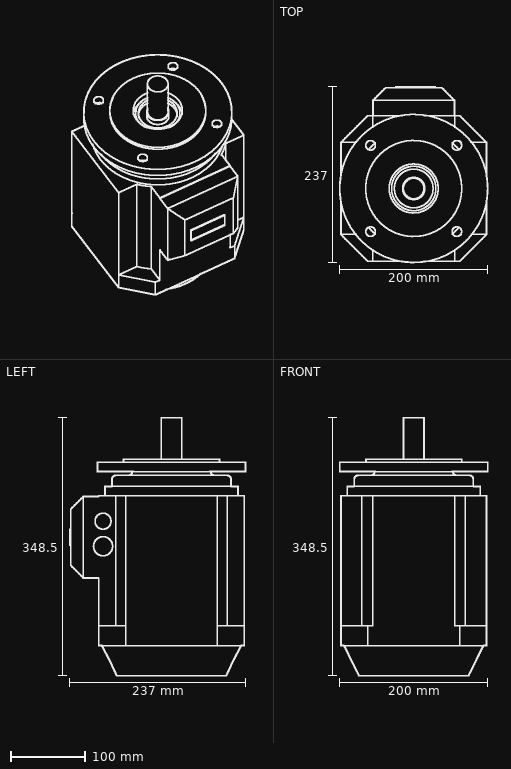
import cadquery as cq
import math


overall_length = 348.5
cowl_height = 40.8
notch_floor_z = 68.0
housing_top_z = 243.3
shield_top_z = 255.8
neck_base_z = 270.8
flange_bottom_z = 275.5
flange_top_z = 288.5
pilot_top_z = 292.5

housing_half_width = 98.3
corner_chamfer = 36.2
notch_half_width = 55.0
notch_radius = 93.5
notch_wall_y = housing_half_width - corner_chamfer
cowl_bottom_radius = 74.0
cowl_top_radius = 94.0

shield_radius = 90.0
cap_radius = 80.5
cap_fillet = 5.5
neck_radius = 53.0
neck_fillet = flange_bottom_z - neck_base_z
flange_radius = 100.0
pilot_radius = 64.8
bolt_offset = 58.2
bolt_hole_diameter = 13.0

shaft_radius = 14.0
shoulder_radius = 15.0
shoulder_top_z = 289.0
pocket_radius = 33.0
pocket_depth = 12.2
seal_outer_radius = 30.0
seal_inner_radius = 26.0
seal_height = 6.3

box_width = 2 * notch_half_width
box_top_z = 242.2
box_face_y = 136.0
box_chamfer = 17.0
box_center_z = box_top_z - box_width / 2
plate_width = 53.0
plate_height = 21.5
plate_thickness = 1.0
plate_center_x = 2.5
cable_y = 92.5
cable_recess_depth = 2.8
cable_recesses = [(208.8, 21.5), (175.0, 25.8)]


def disc(radius, bottom_z, top_z):
    """Cylinder on the shaft axis between two heights."""
    return cq.Workplane("XY").workplane(offset=bottom_z).circle(radius).extrude(top_z - bottom_z)


def corner_notch():
    """Cutter for one housing corner: two flat walls joined by an arc about the shaft axis."""
    arc_start = (math.sqrt(notch_radius**2 - notch_wall_y**2), notch_wall_y)
    arc_end = (notch_half_width, math.sqrt(notch_radius**2 - notch_half_width**2))
    mid_angle = (math.atan2(arc_start[1], arc_start[0]) + math.atan2(arc_end[1], arc_end[0])) / 2
    arc_mid = (notch_radius * math.cos(mid_angle), notch_radius * math.sin(mid_angle))
    return (
        cq.Workplane("XY")
        .workplane(offset=notch_floor_z)
        .moveTo(housing_half_width, notch_wall_y)
        .lineTo(*arc_start)
        .threePointArc(arc_mid, arc_end)
        .lineTo(notch_half_width, housing_half_width)
        .lineTo(housing_half_width, housing_half_width)
        .close()
        .extrude(housing_top_z - notch_floor_z)
    )


def housing():
    """Square body with chamfered corners, notched above the notch floor."""
    body = (
        cq.Workplane("XY")
        .workplane(offset=cowl_height)
        .rect(2 * housing_half_width, 2 * housing_half_width)
        .extrude(housing_top_z - cowl_height)
        .edges("|Z")
        .chamfer(corner_chamfer)
    )
    notch = corner_notch()
    for mirrored in (notch, notch.mirror("YZ")):
        body = body.cut(mirrored).cut(mirrored.mirror("XZ"))
    return body


def turned_body():
    """Fan cowl, end shield, cap, neck, flange and pilot as one revolved profile."""
    diagonal = math.sqrt(0.5)
    cap_fillet_mid = (
        cap_radius - cap_fillet * (1 - diagonal),
        neck_base_z - cap_fillet * (1 - diagonal),
    )
    neck_fillet_mid = (
        neck_radius + neck_fillet * (1 - diagonal),
        neck_base_z + neck_fillet * (1 - diagonal),
    )
    return (
        cq.Workplane("XZ")
        .moveTo(0, 0)
        .lineTo(cowl_bottom_radius, 0)
        .lineTo(cowl_top_radius, cowl_height)
        .lineTo(shield_radius, cowl_height)
        .lineTo(shield_radius, shield_top_z)
        .lineTo(cap_radius, shield_top_z)
        .lineTo(cap_radius, neck_base_z - cap_fillet)
        .threePointArc(cap_fillet_mid, (cap_radius - cap_fillet, neck_base_z))
        .lineTo(neck_radius + neck_fillet, neck_base_z)
        .threePointArc(neck_fillet_mid, (neck_radius, flange_bottom_z))
        .lineTo(flange_radius, flange_bottom_z)
        .lineTo(flange_radius, flange_top_z)
        .lineTo(pilot_radius, flange_top_z)
        .lineTo(pilot_radius, pilot_top_z)
        .lineTo(0, pilot_top_z)
        .close()
        .revolve(360, (0, 0, 0), (0, 1, 0))
    )


def bolt_holes():
    """Four holes through the flange only."""
    return (
        cq.Workplane("XY")
        .workplane(offset=flange_bottom_z)
        .rect(2 * bolt_offset, 2 * bolt_offset, forConstruction=True)
        .vertices()
        .circle(bolt_hole_diameter / 2)
        .extrude(flange_top_z - flange_bottom_z)
    )


def shaft_and_seal():
    """Stepped shaft and raised seal ring standing on the pocket floor."""
    floor_z = pilot_top_z - pocket_depth
    seal_top_z = floor_z + seal_height
    seal = disc(seal_outer_radius, floor_z, seal_top_z).cut(disc(seal_inner_radius, floor_z, seal_top_z))
    shoulder = disc(shoulder_radius, floor_z, shoulder_top_z)
    shaft = disc(shaft_radius, floor_z, overall_length)
    return shaft.union(shoulder).union(seal)


def terminal_box():
    """Square box on the +Y side with a bevelled cover and a thin nameplate."""
    box = (
        cq.Workplane("XY")
        .box(box_width, box_face_y, box_width, centered=(True, False, True))
        .faces(">Y")
        .chamfer(box_chamfer)
    )
    plate = (
        cq.Workplane("XY")
        .box(plate_width, plate_thickness, plate_height, centered=(True, False, True))
        .translate((plate_center_x, box_face_y, 0))
    )
    return box.union(plate).translate((0, 0, box_center_z))


def cable_entries():
    """Shallow round recesses in the -X side of the terminal box."""
    cutter = cq.Workplane("YZ").workplane(offset=-notch_half_width)
    for height, diameter in cable_recesses:
        cutter = cutter.moveTo(cable_y, height).circle(diameter / 2)
    return cutter.extrude(cable_recess_depth)


pocket = disc(pocket_radius, pilot_top_z - pocket_depth, pilot_top_z)

result = (
    turned_body()
    .union(housing())
    .union(terminal_box())
    .cut(cable_entries())
    .cut(bolt_holes())
    .cut(pocket)
    .union(shaft_and_seal())
)